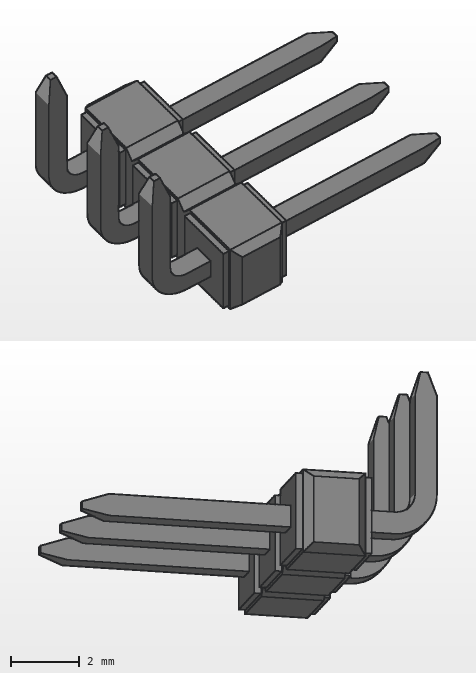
import cadquery as cq

pin_count = 3
pitch = 2.54
housing_length = pin_count * pitch
housing_depth = 1.87
housing_height = 2.5
end_chamfer = 0.25
notch_half_width = 0.29
notch_depth = 0.32

pad_width = 1.91
pad_height = 2.29
pad_thickness = 0.2

pin_width = 0.66
tip_width = 0.22
tip_length = 0.75
bend_inner_radius = 0.6
bend_outer_radius = bend_inner_radius + pin_width
overall_length = 10.59
overall_height = 5.92
front_reach = 3.25

pin_front_y = -front_reach
pin_back_y = overall_length - front_reach
pin_top_z = overall_height - housing_height / 2
upright_y = pin_front_y + pin_width / 2
bend_center_y = pin_front_y + bend_outer_radius
bend_center_z = bend_outer_radius - pin_width / 2
bend_mid_radius = (bend_inner_radius + bend_outer_radius) / 2

cell_centers = [(i - (pin_count - 1) / 2) * pitch for i in range(pin_count)]
cell_borders = [x + pitch / 2 for x in cell_centers[:-1]]


def make_housing():
    """Block with chamfered ends and V-notches between the cells, top and bottom."""
    housing = cq.Workplane("XY").box(housing_length, housing_depth, housing_height)
    housing = housing.faces("<X or >X").chamfer(end_chamfer)
    for x in cell_borders:
        for side in (1, -1):
            outer_z = side * housing_height / 2
            notch = (
                cq.Workplane("XZ")
                .moveTo(x - notch_half_width, outer_z)
                .lineTo(x, outer_z - side * notch_depth)
                .lineTo(x + notch_half_width, outer_z)
                .close()
                .extrude(housing_depth / 2, both=True)
            )
            housing = housing.cut(notch)
    return housing


def make_pads(x):
    """One plate through the cell, standing out equally at the front and back."""
    plate_depth = housing_depth + 2 * pad_thickness
    return cq.Workplane("XY").box(pad_width, plate_depth, pad_height).translate((x, 0, 0))


def make_tip(base_plane):
    """Square taper that starts on the given plane."""
    return (
        cq.Workplane(base_plane)
        .rect(pin_width, pin_width)
        .workplane(offset=tip_length)
        .rect(tip_width, tip_width)
        .loft(ruled=True)
    )


def make_pin(x):
    """Pin that runs through the housing along Y, then bends up at the front."""
    tail_base_y = pin_back_y - tip_length
    upright_base_z = pin_top_z - tip_length
    mid_offset = bend_mid_radius / 2**0.5
    path = (
        cq.Workplane("YZ")
        .moveTo(tail_base_y, 0)
        .lineTo(bend_center_y, 0)
        .threePointArc(
            (bend_center_y - mid_offset, bend_center_z - mid_offset),
            (upright_y, bend_center_z),
        )
        .lineTo(upright_y, upright_base_z)
    )
    tail_plane = cq.Plane(origin=(0, tail_base_y, 0), xDir=(1, 0, 0), normal=(0, 1, 0))
    upright_plane = cq.Plane(origin=(0, upright_y, upright_base_z))
    shaft = cq.Workplane(tail_plane).rect(pin_width, pin_width).sweep(path)
    pin = shaft.union(make_tip(tail_plane)).union(make_tip(upright_plane))
    return pin.translate((x, 0, 0))


result = make_housing()
for center_x in cell_centers:
    result = result.union(make_pads(center_x)).union(make_pin(center_x))